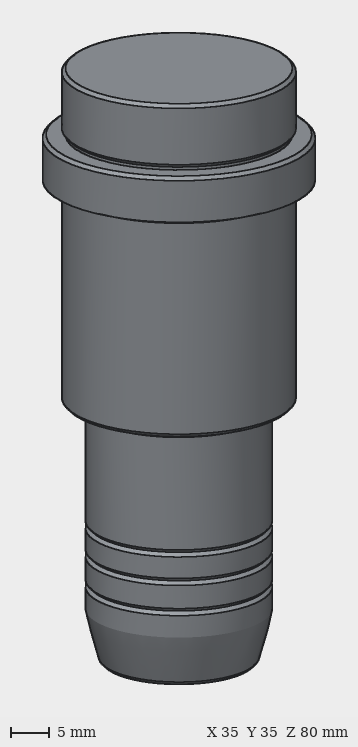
import cadquery as cq

total_height = 80.0
edge_chamfer = 0.5

body_radius = 15.0
neck_radius = body_radius - edge_chamfer
flange_radius = 17.5
cap_bottom = 71.9
flange_top = 71.0
flange_bottom = 65.0
body_top = 64.5
body_bottom = 35.0

shank_radius = 12.0
relief_radius = 11.5
shank_top = 34.1
groove_heights = [10.5, 14.6, 18.4]
groove_depth = 0.5
tip_top = 7.0
tip_radius = 10.3
tip_bulge = 0.12


def cylinder(radius, bottom, top):
    return cq.Workplane("XY").workplane(offset=bottom).circle(radius).extrude(top - bottom)


def make_upper_body():
    cap = cylinder(body_radius, cap_bottom - edge_chamfer, total_height).edges().chamfer(edge_chamfer)
    flange = cylinder(flange_radius, flange_bottom, flange_top).faces(">Z").edges().chamfer(edge_chamfer)
    body = cylinder(body_radius, body_bottom, body_top).edges().chamfer(edge_chamfer)
    neck = cylinder(neck_radius, body_bottom, total_height)
    return neck.union(body).union(flange).union(cap)


def make_shank():
    """Revolve the shank with its curved tip and the narrower relief above it."""
    tip_middle = ((shank_radius + tip_radius) / 2 + tip_bulge, (tip_top + edge_chamfer) / 2)
    return (
        cq.Workplane("XZ")
        .lineTo(tip_radius - edge_chamfer, 0)
        .lineTo(tip_radius, edge_chamfer)
        .threePointArc(tip_middle, (shank_radius, tip_top))
        .lineTo(shank_radius, shank_top)
        .lineTo(relief_radius, shank_top)
        .lineTo(relief_radius, body_bottom)
        .lineTo(0, body_bottom)
        .close()
        .revolve(360, (0, 0), (0, 1))
    )


def make_groove(height):
    """Ring-shaped cutter with a 90 degree V section."""
    return (
        cq.Workplane("XZ")
        .moveTo(shank_radius - groove_depth, height)
        .lineTo(shank_radius + groove_depth, height + 2 * groove_depth)
        .lineTo(shank_radius + groove_depth, height - 2 * groove_depth)
        .close()
        .revolve(360, (0, 0), (0, 1))
    )


result = make_upper_body().union(make_shank())
for groove_height in groove_heights:
    result = result.cut(make_groove(groove_height))